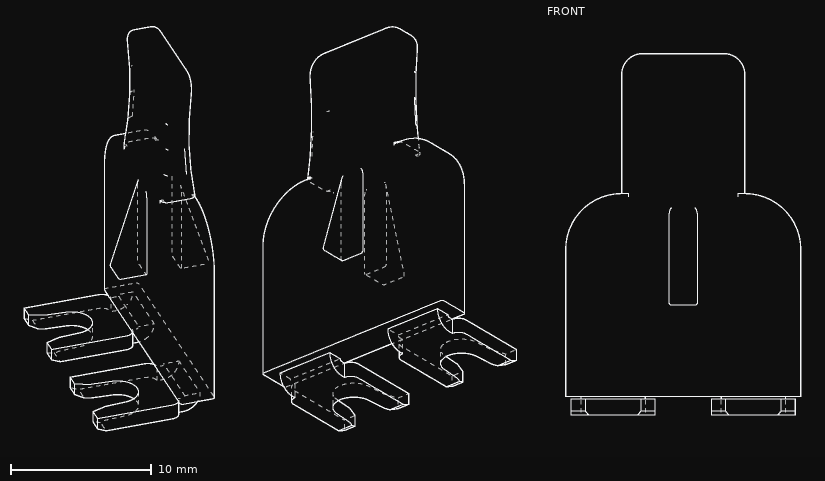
import cadquery as cq
import math

total_height = 25.8

plate_width = 16.8
plate_thickness = 2.6
plate_bottom = 1.32
plate_top = 15.82
plate_corner_radius = 4.0
plate_edge_radius = 0.2

handle_width = plate_width - 2 * plate_corner_radius
handle_corner_radius = 1.5
handle_edge_radius = 0.5
waist_thickness = 1.7
waist_height = 21.0

rib_width = 2.05
rib_bottom = 7.85
rib_top = 14.78
rib_projection = 2.2
rib_edge_radius = 0.2

lug_spacing = 10.0
lug_width = 6.0
lug_thickness = 1.15
lug_reach = 6.15
lug_corner_radius = 0.7
lug_shoulder = -1.1
neck_width = lug_width - 2 * lug_corner_radius
neck_back = 0.55
bend_inner_radius = plate_bottom - lug_thickness
tip_chamfer_length = 0.65
tip_chamfer_height = 0.28

slot_radius = 1.5
slot_root = -3.4
slot_throat_width = 3.2
slot_mouth_width = 3.97
slot_flare_length = 1.05

plate_front = -plate_thickness / 2
lug_tip = plate_front - lug_reach
rib_tip = plate_thickness / 2 + rib_projection


def make_plate():
    """Upright plate with round upper corners and rounded edges all round except the bottom."""
    height = plate_top - plate_bottom
    plate = (
        cq.Workplane("XY")
        .box(plate_width, plate_thickness, height)
        .translate((0, 0, plate_bottom + height / 2))
        .edges("|Y and >Z")
        .fillet(plate_corner_radius)
    )
    return plate.faces("<Y or >Y").edges("|Z or %CIRCLE").fillet(plate_edge_radius)


def make_handle():
    """Waisted grip standing on the flat top of the plate."""
    height = total_height - plate_top
    handle = (
        cq.Workplane("XY")
        .box(handle_width, plate_thickness, height)
        .translate((0, 0, plate_top + height / 2))
        .edges("|Y and >Z")
        .fillet(handle_corner_radius)
    )
    hollow_depth = (plate_thickness - waist_thickness) / 2
    half_chord = waist_height - plate_top
    hollow_radius = (half_chord**2 + hollow_depth**2) / (2 * hollow_depth)
    hollow_offset = waist_thickness / 2 + hollow_radius
    for side in (-1, 1):
        hollow = (
            cq.Workplane("YZ")
            .center(side * hollow_offset, waist_height)
            .circle(hollow_radius)
            .extrude(handle_width, both=True)
        )
        handle = handle.cut(hollow)
    handle = handle.faces("<Y or >Y").edges("not <Z").fillet(handle_edge_radius)
    root = (
        cq.Workplane("XY")
        .workplane(offset=plate_top - plate_edge_radius)
        .rect(handle_width - 2 * handle_edge_radius, plate_thickness)
        .extrude(plate_edge_radius)
    )
    return handle.union(root)


def make_ribs():
    """Triangular wedge through the plate, widening downwards on both faces."""
    slope = (rib_top - rib_bottom) / rib_projection
    apex = rib_top + slope * plate_thickness / 2
    return (
        cq.Workplane("YZ")
        .polyline([(-rib_tip, rib_bottom), (rib_tip, rib_bottom), (0, apex)])
        .close()
        .extrude(rib_width / 2, both=True)
        .edges()
        .fillet(rib_edge_radius)
    )


def make_lug():
    """L-shaped strip bent out of the plate bottom, ending in an open fork."""
    bend_outer_radius = bend_inner_radius + lug_thickness
    bend_centre = neck_back - bend_outer_radius
    diagonal = math.sqrt(0.5)
    outer_mid = bend_outer_radius * diagonal
    inner_mid = bend_inner_radius * diagonal
    bent_strip = (
        cq.Workplane("YZ")
        .moveTo(neck_back, plate_bottom)
        .threePointArc((bend_centre + outer_mid, plate_bottom - outer_mid), (bend_centre, 0))
        .lineTo(lug_tip + tip_chamfer_length, 0)
        .lineTo(lug_tip, tip_chamfer_height)
        .lineTo(lug_tip, lug_thickness)
        .lineTo(bend_centre, lug_thickness)
        .threePointArc(
            (bend_centre + inner_mid, plate_bottom - inner_mid),
            (bend_centre + bend_inner_radius, plate_bottom),
        )
        .close()
        .extrude(lug_width / 2, both=True)
    )
    return bent_strip.intersect(make_lug_outline()).cut(make_fork_slot())


def make_lug_outline():
    """Plan shape of a lug: wide fork with round shoulders and a narrower neck."""
    fork_length = lug_shoulder - lug_tip
    fork = (
        cq.Workplane("XY")
        .center(0, lug_tip + fork_length / 2)
        .rect(lug_width, fork_length)
        .extrude(plate_bottom)
        .edges("|Z and >Y")
        .fillet(lug_corner_radius)
    )
    neck_length = neck_back - lug_shoulder
    neck = (
        cq.Workplane("XY")
        .center(0, lug_shoulder + neck_length / 2)
        .rect(neck_width, neck_length)
        .extrude(plate_bottom)
    )
    return fork.union(neck)


def make_fork_slot():
    """Round-ended slot that widens slightly, then flares at the mouth."""
    arc_centre = slot_root - slot_radius
    throat = lug_tip + slot_flare_length
    return (
        cq.Workplane("XY")
        .moveTo(-slot_mouth_width / 2, lug_tip)
        .lineTo(-slot_throat_width / 2, throat)
        .lineTo(-slot_radius, arc_centre)
        .threePointArc((0, slot_root), (slot_radius, arc_centre))
        .lineTo(slot_throat_width / 2, throat)
        .lineTo(slot_mouth_width / 2, lug_tip)
        .close()
        .extrude(plate_bottom)
    )


result = make_plate().union(make_handle()).union(make_ribs())
lug = make_lug()
for side in (-1, 1):
    result = result.union(lug.translate((side * lug_spacing / 2, 0, 0)))